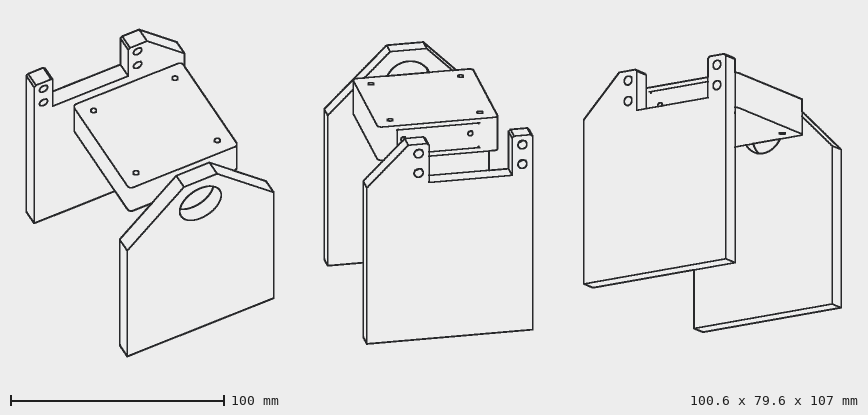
import cadquery as cq
import math

axis_height = 90.3

notched_thickness = 8.0
notched_width = 79.6
notched_shoulder = 80.0
tab_rise = 20.0
notched_height = notched_shoulder + tab_rise
tab_width = notched_width / 8
tab_chamfer = 1.0
tab_hole_diameter = 4.3
tab_hole_spacing = 10.0

overall_length = 100.6
bored_thickness = 7.8
bored_width = 77.5
bored_height = 107.0
bored_top_width = 17.5
bore_diameter = 21.8

box_side = 57.7
box_height = 17.0
box_base = axis_height - box_height / 2
box_start = 26.0
box_fillet = 2.0
mount_hole_diameter = 2.7
mount_hole_spacing = 43.0

pocket_width = 39.0
pocket_height = 12.6
pocket_depth = 3.0
pocket_fillet = 0.5
floor_hole_diameter = 2.4
floor_hole_spacing = 32.1
floor_hole_depth = 4.3


def make_notched_plate():
    """Plate with a notch between two drilled tabs and one sloping corner."""
    half = notched_width / 2
    low_tab_inner = -half + tab_width
    high_tab_inner = low_tab_inner + notched_width / 2
    high_tab_outer = high_tab_inner + tab_width
    plate = (
        cq.Workplane("YZ")
        .moveTo(-half, 0)
        .lineTo(half, 0)
        .lineTo(half, notched_shoulder)
        .lineTo(high_tab_outer, notched_height)
        .lineTo(high_tab_inner, notched_height)
        .lineTo(high_tab_inner, notched_shoulder)
        .lineTo(low_tab_inner, notched_shoulder)
        .lineTo(low_tab_inner, notched_height)
        .lineTo(-half, notched_height)
        .close()
        .extrude(notched_thickness)
    )

    for y in (-half, low_tab_inner, high_tab_inner):
        corner = cq.selectors.NearestToPointSelector((notched_thickness / 2, y, notched_height))
        plate = plate.edges("|X").edges(corner).chamfer(tab_chamfer)

    hole_centers = [
        (inner_edge + side * tab_width / 2, axis_height + level * tab_hole_spacing / 2)
        for inner_edge, side in ((low_tab_inner, -1), (high_tab_inner, 1))
        for level in (-1, 1)
    ]
    holes = (
        cq.Workplane("YZ")
        .pushPoints(hole_centers)
        .circle(tab_hole_diameter / 2)
        .extrude(notched_thickness)
    )
    return plate.cut(holes)


def make_bored_plate():
    """Plate with both top corners cut at 45 degrees and one large bore."""
    half = bored_width / 2
    top_half = bored_top_width / 2
    shoulder = bored_height - (half - top_half)
    face = cq.Workplane("YZ", origin=(overall_length - bored_thickness, 0, 0))
    plate = face.polyline([
        (-half, 0),
        (half, 0),
        (half, shoulder),
        (top_half, bored_height),
        (-top_half, bored_height),
        (-half, shoulder),
    ]).close().extrude(bored_thickness)
    bore = face.center(0, axis_height).circle(bore_diameter / 2).extrude(bored_thickness)
    return plate.cut(bore)


def make_pocket():
    """Volume of the pocket: rounded corners and floor edges, eased upright mouth edges."""
    face = cq.Workplane("YZ", origin=(box_start, 0, axis_height))
    recess = (
        face.rect(pocket_width, pocket_height)
        .extrude(pocket_depth)
        .edges("|X or >X")
        .fillet(pocket_fillet)
    )

    half = pocket_width / 2
    mouth_half = half + pocket_fillet
    flare_end = box_start + pocket_fillet
    arc_offset = pocket_fillet * (1 - math.sqrt(0.5))
    arc_x = box_start + arc_offset
    arc_y = half + arc_offset
    flare = (
        cq.Workplane("XY", origin=(0, 0, axis_height))
        .moveTo(box_start, -mouth_half)
        .threePointArc((arc_x, -arc_y), (flare_end, -half))
        .lineTo(flare_end, half)
        .threePointArc((arc_x, arc_y), (box_start, mouth_half))
        .close()
        .extrude(pocket_height / 2, both=True)
    )
    return recess.union(flare)


def make_box():
    """Square box with mounting holes through it and a pocket in its -X face."""
    base = cq.Workplane("XY", origin=(box_start + box_side / 2, 0, box_base))
    box = base.rect(box_side, box_side).extrude(box_height).edges("|Z").fillet(box_fillet)
    mount_holes = (
        base.rect(mount_hole_spacing, mount_hole_spacing, forConstruction=True)
        .vertices()
        .circle(mount_hole_diameter / 2)
        .extrude(box_height)
    )
    floor_holes = (
        cq.Workplane("YZ", origin=(box_start + pocket_depth, 0, axis_height))
        .pushPoints([(side * floor_hole_spacing / 2, 0) for side in (-1, 1)])
        .circle(floor_hole_diameter / 2)
        .extrude(floor_hole_depth)
    )
    return box.cut(mount_holes).cut(make_pocket()).cut(floor_holes)


notched_plate = make_notched_plate()
bored_plate = make_bored_plate()
box = make_box()

result = cq.Compound.makeCompound([notched_plate.val(), bored_plate.val(), box.val()])